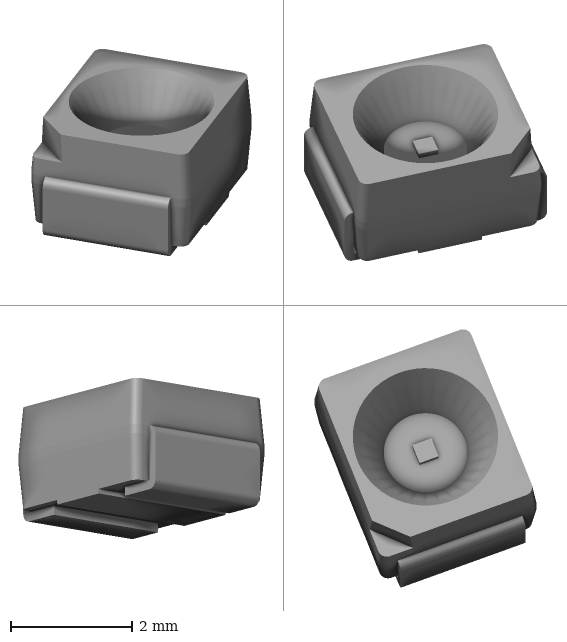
import cadquery as cq

overall_length = 3.51
overall_height = 1.87

body_width = 2.8
body_length = 3.2
side_inset = 0.055
corner_radius = 0.15

lead_thickness = 0.15
lead_width = 2.2
lead_top = 1.075
foot_length = 0.81
outer_bend_radius = 0.15
inner_bend_radius = 0.05

body_bottom = lead_thickness
band_top = lead_top
band_bottom = lead_top - lead_thickness

pad_top_width = body_width - 2 * side_inset
pad_length = 1.1
pad_height = 0.077
pad_end_inset = side_inset * pad_height / (band_bottom - body_bottom)

bowl_top_diameter = 2.4
bowl_floor_diameter = 1.38
bowl_floor = band_top
chip_size = 0.337
chip_height = 0.1

notch_leg = 0.6
notch_depth = 0.5


def body_outline(inset):
    """Rounded rectangle of the housing, drawn in by inset on every side."""
    return (
        cq.Sketch()
        .rect(body_width - 2 * inset, body_length - 2 * inset)
        .vertices()
        .fillet(corner_radius)
    )


def body_layer(bottom, bottom_inset, top, top_inset):
    """Straight-sided layer of the housing between two heights."""
    lower_outline = body_outline(bottom_inset)
    upper_outline = body_outline(top_inset).moved(cq.Location((0, 0, top - bottom)))
    return (
        cq.Workplane("XY")
        .workplane(offset=bottom)
        .placeSketch(lower_outline, upper_outline)
        .loft(ruled=True)
    )


def make_body():
    lower = body_layer(body_bottom, side_inset, band_bottom, 0)
    band = body_layer(band_bottom, 0, band_top, 0)
    upper = body_layer(band_top, 0, overall_height, side_inset)
    return lower.union(band).union(upper)


def make_bowl():
    """Conical space of the reflector, open at the top."""
    return (
        cq.Workplane("XY")
        .workplane(offset=bowl_floor)
        .circle(bowl_floor_diameter / 2)
        .workplane(offset=overall_height - bowl_floor)
        .circle(bowl_top_diameter / 2)
        .loft(ruled=True)
    )


def make_notch():
    """Triangular prism that cuts off the top of one corner."""
    corner_x = -body_width / 2
    corner_y = -body_length / 2
    return (
        cq.Workplane("XY")
        .workplane(offset=overall_height - notch_depth)
        .moveTo(corner_x, corner_y)
        .lineTo(corner_x + notch_leg, corner_y)
        .lineTo(corner_x, corner_y + notch_leg)
        .close()
        .extrude(notch_depth)
    )


def make_chip():
    return (
        cq.Workplane("XY")
        .workplane(offset=bowl_floor)
        .rect(chip_size, chip_size)
        .extrude(chip_height)
    )


def make_pad():
    top_x = pad_top_width / 2
    bottom_x = top_x - pad_end_inset
    pad_bottom = body_bottom - pad_height
    return (
        cq.Workplane("XZ")
        .moveTo(-top_x, body_bottom)
        .lineTo(top_x, body_bottom)
        .lineTo(bottom_x, pad_bottom)
        .lineTo(-bottom_x, pad_bottom)
        .close()
        .extrude(pad_length / 2, both=True)
    )


def make_lead():
    """C-shaped lead at the +Y end; its upper arm runs into the housing."""
    outer_y = overall_length / 2
    inner_y = outer_y - lead_thickness
    foot_end = outer_y - foot_length
    arm_end = body_length / 2 - lead_thickness
    strip = (
        cq.Workplane("YZ")
        .moveTo(foot_end, 0)
        .lineTo(outer_y, 0)
        .lineTo(outer_y, lead_top)
        .lineTo(arm_end, lead_top)
        .lineTo(arm_end, band_bottom)
        .lineTo(inner_y, band_bottom)
        .lineTo(inner_y, lead_thickness)
        .lineTo(foot_end, lead_thickness)
        .close()
        .extrude(lead_width / 2, both=True)
    )
    inner_bend = cq.selectors.NearestToPointSelector((0, inner_y, lead_thickness))
    return (
        strip.edges("|X and >Y")
        .fillet(outer_bend_radius)
        .edges(inner_bend)
        .fillet(inner_bend_radius)
    )


lead = make_lead()
result = (
    make_body()
    .cut(make_bowl())
    .cut(make_notch())
    .union(make_chip())
    .union(make_pad())
    .union(lead)
    .union(lead.mirror("XZ"))
)